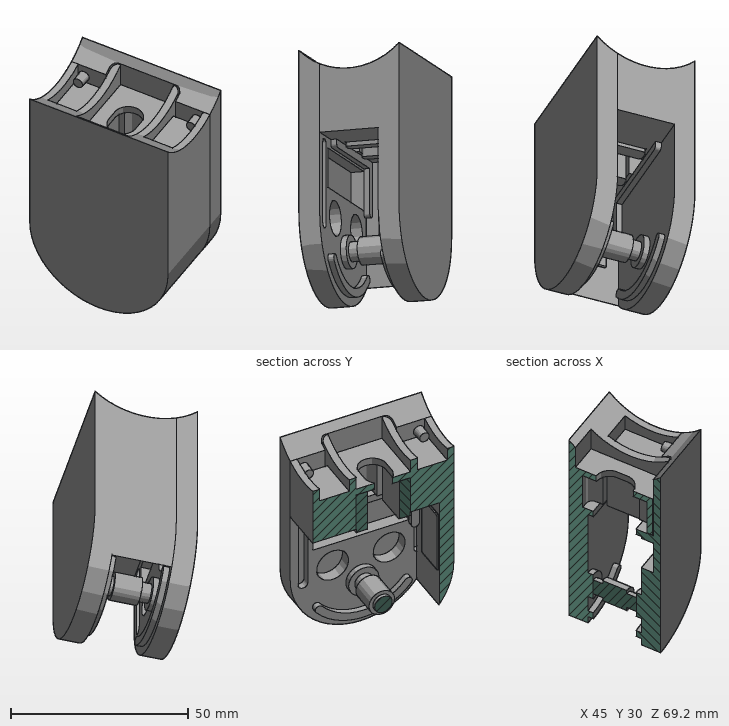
import cadquery as cq
import math

width = 45.0
depth = 30.0
corner_radius = width / 2
tube_radius = 21.2
saddle_low_z = 63.0
saddle_axis_z = saddle_low_z + tube_radius
blank_height = 75.0

slot_half = 8.75
ceiling_z = 45.0
end_wall_x = 17.7

pocket_floor_z = 59.5
center_pocket_half = 8.6
center_pocket_front_y = -12.8
side_pocket_inner_x = 10.9
side_pocket_outer_x = 20.3
side_pocket_front_y = -8.55
side_gap = 0.45
side_gap_depth = 1.0
tongue_end_y = 12.4
tongue_corner_radius = 2.0
tongue_clearance = 0.45
tongue_end_clearance = 0.2
bolt_slot_width = 8.6
bolt_slot_length = 12.0
pocket_floor_thickness = 2.3

cavity_top_z = pocket_floor_z - pocket_floor_thickness
cavity_half_x = center_pocket_half
cavity_half_y = 6.0
channel_half_x = 3.7
channel_half_y = 10.4
channel_corner_radius = 2.0
guide_inner_x = 5.0
guide_corner_radius = 1.1
guide_overhang = 1.2

rib_height = 1.75
rib_width = 2.5
rib_end_radius = rib_width / 2
rib_face = slot_half - rib_height
arc_rib_radius = 18.75
arc_rib_half_angle = 49.2
upper_rib_z = 44.0
upper_rib_left_x = -13.0
side_rib_x = end_wall_x - rib_end_radius
side_rib_low_z = 30.0
pin_z = 15.2
boss_radius = 4.8

window_half = 15.25
window_low_z = 30.6
window_high_z = 42.0
window_end_y = 12.6
round_recess_x = 9.0
round_recess_z = 23.0
round_recess_radius = 5.05
groove_x = 18.4
groove_width = 3.0
groove_low_z = 18.2
groove_high_z = 44.0
round_recess_depth = 3.7
groove_depth = 2.3

stud_x = groove_x
stud_z = 61.2
stud_length = 3.5
stud_base_radius = 1.68
stud_tip_radius = 1.5

pin_radius = 2.85
pin_collar_radius = 4.05
pin_collar_half = 4.0

wall_pad_width = 10.0
wall_pad_low_z = 20.8
wall_pad_high_z = 40.8
wall_pad_corner_radius = 0.8
wall_pad_chamfer = 0.3
wall_pad_height = 0.5


def block(x0, x1, y0, y1, z0, z1):
    """Box given by its limits along each axis."""
    return cq.Workplane("XY").box(x1 - x0, y1 - y0, z1 - z0, centered=False).translate((x0, y0, z0))


def xz_plane(y):
    """Sketch plane at the given Y, with local axes X and Z; a positive extrude goes toward -Y."""
    return cq.Workplane("XZ", origin=(0, y, 0))


def d_prism(y0, y1):
    """D-shaped prism between two Y planes, topped by the tube saddle."""
    prism = (
        xz_plane(y1)
        .moveTo(-corner_radius, blank_height)
        .lineTo(-corner_radius, corner_radius)
        .threePointArc((0, 0), (corner_radius, corner_radius))
        .lineTo(corner_radius, blank_height)
        .close()
        .extrude(y1 - y0)
    )
    tube = (
        cq.Workplane("YZ", origin=(-width, 0, 0))
        .center(0, saddle_axis_z)
        .circle(tube_radius)
        .extrude(2 * width)
    )
    return prism.cut(tube)


def polar(radius, angle):
    """Point about the centre of the round lower end; the angle runs from straight down toward +X."""
    a = math.radians(angle)
    return (radius * math.sin(a), corner_radius - radius * math.cos(a))


def arc_rib(y_top):
    """Curved rib with round ends, concentric with the lower end."""
    outer = arc_rib_radius + rib_end_radius
    inner = arc_rib_radius - rib_end_radius
    angle = arc_rib_half_angle
    end_tilt = math.degrees(rib_end_radius / arc_rib_radius)
    return (
        xz_plane(y_top)
        .moveTo(*polar(outer, -angle))
        .threePointArc(polar(outer, 0), polar(outer, angle))
        .threePointArc(polar(arc_rib_radius, angle + end_tilt), polar(inner, angle))
        .threePointArc(polar(inner, 0), polar(inner, -angle))
        .threePointArc(polar(arc_rib_radius, -angle - end_tilt), polar(outer, -angle))
        .close()
        .extrude(rib_height)
    )


def cheek_ribs(y_top):
    """All raised features of one cheek, from y_top - rib_height to y_top, trimmed at the ceiling."""
    y_low = y_top - rib_height
    boss = xz_plane(y_top).center(0, pin_z).circle(boss_radius).extrude(rib_height)
    upper_rib = block(upper_rib_left_x, end_wall_x, y_low, y_top,
                      upper_rib_z - rib_end_radius, ceiling_z)
    upper_rib = upper_rib.edges("|Y and <X and <Z").fillet(rib_end_radius)
    side_rib = block(side_rib_x - rib_end_radius, end_wall_x, y_low, y_top,
                     side_rib_low_z, ceiling_z)
    side_rib_end = (
        xz_plane(y_top).center(side_rib_x, side_rib_low_z).circle(rib_end_radius).extrude(rib_height)
    )
    return arc_rib(y_top).union(boss).union(upper_rib).union(side_rib).union(side_rib_end)


def tongue_shape(half_width, end_y, radius):
    """Upright block behind the parting plane with rounded rear corners."""
    shape = block(-half_width, half_width, slot_half, end_y, ceiling_z, blank_height)
    return shape.edges("|Z and >Y").fillet(radius)


def make_housing():
    body = d_prism(-depth / 2, slot_half)

    tongue = tongue_shape(side_pocket_inner_x, tongue_end_y, tongue_corner_radius)
    body = body.union(tongue.intersect(d_prism(slot_half, depth / 2)))

    body = body.cut(block(-width, end_wall_x, -slot_half, slot_half, -1, ceiling_z))
    body = body.union(cheek_ribs(-rib_face))

    body = body.cut(block(-center_pocket_half, center_pocket_half, center_pocket_front_y, depth / 2,
                          pocket_floor_z, blank_height))
    bolt_slot = (
        cq.Workplane("XY", origin=(0, 0, ceiling_z))
        .slot2D(bolt_slot_length, bolt_slot_width, 90)
        .extrude(blank_height - ceiling_z)
    )
    body = body.cut(bolt_slot)

    body = body.cut(block(-cavity_half_x, cavity_half_x, -cavity_half_y, cavity_half_y,
                          ceiling_z, cavity_top_z))
    channel = block(-channel_half_x, channel_half_x, -channel_half_y, channel_half_y,
                    ceiling_z, cavity_top_z)
    body = body.cut(channel.edges("|Z").fillet(channel_corner_radius))

    gap_y = slot_half - side_gap
    for side in (-1, 1):
        x0, x1 = sorted((side * side_pocket_inner_x, side * side_pocket_outer_x))
        body = body.cut(block(x0, x1, side_pocket_front_y, slot_half, pocket_floor_z, blank_height))
        body = body.cut(block(x0, x1, gap_y, slot_half, pocket_floor_z - side_gap_depth, pocket_floor_z))
    return body


def make_cover():
    body = d_prism(slot_half, depth / 2)
    body = body.cut(tongue_shape(side_pocket_inner_x + tongue_clearance,
                                 tongue_end_y + tongue_end_clearance,
                                 tongue_corner_radius))

    body = body.cut(block(-window_half, window_half, slot_half, window_end_y,
                          window_low_z, window_high_z))

    for side in (-1, 1):
        round_recess = (
            xz_plane(slot_half)
            .center(side * round_recess_x, round_recess_z)
            .circle(round_recess_radius)
            .extrude(-round_recess_depth)
        )
        groove = (
            xz_plane(slot_half)
            .center(side * groove_x, (groove_low_z + groove_high_z) / 2)
            .slot2D(groove_high_z - groove_low_z, groove_width, 90)
            .extrude(-groove_depth)
        )
        stud = (
            xz_plane(slot_half)
            .center(side * stud_x, stud_z)
            .circle(stud_base_radius)
            .workplane(offset=stud_length)
            .circle(stud_tip_radius)
            .loft()
        )
        body = body.cut(round_recess).cut(groove).union(stud)
    return body.union(cheek_ribs(slot_half))


def make_pin():
    shaft = xz_plane(rib_face).center(0, pin_z).circle(pin_radius).extrude(2 * rib_face)
    collar = (
        xz_plane(pin_collar_half).center(0, pin_z).circle(pin_collar_radius).extrude(2 * pin_collar_half)
    )
    return shaft.union(collar)


def make_wall_pad():
    half = wall_pad_width / 2
    pad = block(end_wall_x - wall_pad_height, end_wall_x, -half, half, wall_pad_low_z, wall_pad_high_z)
    return pad.edges("|X").fillet(wall_pad_corner_radius).faces("<X").chamfer(wall_pad_chamfer)


def make_guide_block(side):
    """Upright block with rounded corners at one end of the cavity; side is -1 or 1 along X."""
    x0, x1 = sorted((side * guide_inner_x, side * cavity_half_x))
    guide = block(x0, x1, -cavity_half_y, cavity_half_y, ceiling_z - guide_overhang, cavity_top_z)
    return guide.edges("|Z").fillet(guide_corner_radius)


housing = make_housing()
cover = make_cover()
pin = make_pin()
wall_pad = make_wall_pad()
guide_blocks = [make_guide_block(side) for side in (-1, 1)]

bodies = [housing, cover, pin, wall_pad, *guide_blocks]
result = cq.Compound.makeCompound([body.solids().val() for body in bodies])